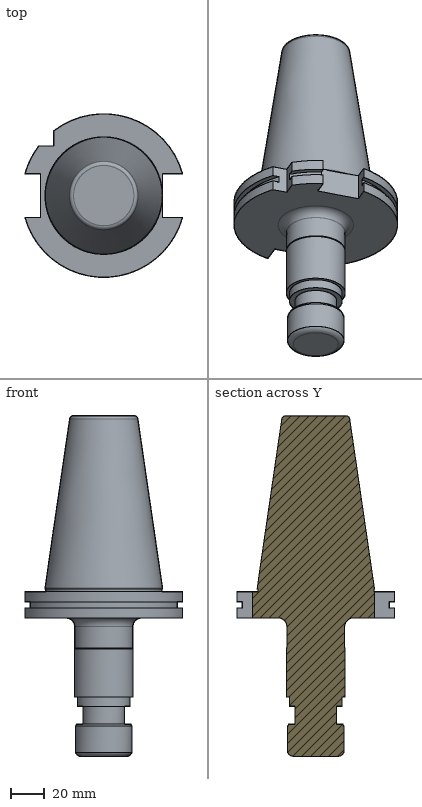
import cadquery as cq

overall_length = 202.8
nut_rounding_top_z = 2.5
nut_top_chamfer_z = 18.0
nut_top_z = 19.3
shank_shoulder_z = 29.8
body_bottom_z = 35.3
body_top_z = 64.0
neck_bottom_z = 64.7
flange_thickness = 15.8
flange_bottom_z = 82.3
flange_top_z = flange_bottom_z + flange_thickness
gauge_band_z = 99.8
taper_start_z = 100.4

nut_face_diameter = 26.8
nut_diameter = 33.7
nut_top_diameter = 32.5
shank_diameter = 25.0
shoulder_diameter = 31.5
body_diameter = 35.0
neck_diameter = 34.7
flange_diameter = 97.3
collar_diameter = 69.4
taper_large_diameter = 70.0

taper_ratio = 7 / 24
taper_length = overall_length - taper_start_z
taper_small_diameter = taper_large_diameter - taper_ratio * taper_length
taper_tip_fillet = 2.5

nut_rounding_radius = 4.0
neck_fillet = 5.0

groove_width = 3.7
groove_depth = 3.0
groove_center_z = flange_bottom_z + flange_thickness / 2
drive_slot_width = 25.8
left_slot_floor_x = -37.7
right_slot_floor_x = 35.0
notch_x = -29.8
notch_y = 29.6


def cylinder(diameter, bottom_z, top_z):
    """Cylinder on the Z axis between two heights."""
    return cq.Workplane("XY").workplane(offset=bottom_z).circle(diameter / 2).extrude(top_z - bottom_z)


def flange_cutter(x_from, x_to, y_from, y_to):
    """Rectangular block through the full flange thickness."""
    return (
        cq.Workplane("XY")
        .box(x_to - x_from, y_to - y_from, flange_thickness, centered=False)
        .translate((x_from, y_from, flange_bottom_z))
    )


def make_shank():
    """Collet nut, shank, stepped body and filleted neck as one revolved profile."""
    neck_radius = neck_diameter / 2
    return (
        cq.Workplane("XZ")
        .lineTo(nut_face_diameter / 2, 0)
        .radiusArc((nut_diameter / 2, nut_rounding_top_z), -nut_rounding_radius)
        .lineTo(nut_diameter / 2, nut_top_chamfer_z)
        .lineTo(nut_top_diameter / 2, nut_top_z)
        .lineTo(shank_diameter / 2, nut_top_z)
        .lineTo(shank_diameter / 2, shank_shoulder_z)
        .lineTo(shoulder_diameter / 2, shank_shoulder_z)
        .lineTo(shoulder_diameter / 2, body_bottom_z)
        .lineTo(body_diameter / 2, body_bottom_z)
        .lineTo(body_diameter / 2, body_top_z)
        .lineTo(neck_radius, neck_bottom_z)
        .lineTo(neck_radius, flange_bottom_z - neck_fillet)
        .radiusArc((neck_radius + neck_fillet, flange_bottom_z), neck_fillet)
        .lineTo(0, flange_bottom_z)
        .close()
        .revolve(360, (0, 0, 0), (0, 1, 0))
    )


def make_flange():
    """Grooved flange with two drive slots and an orientation notch."""
    flange_radius = flange_diameter / 2
    half_slot = drive_slot_width / 2
    groove_bottom_z = groove_center_z - groove_width / 2
    groove_top_z = groove_center_z + groove_width / 2
    groove = cylinder(flange_diameter, groove_bottom_z, groove_top_z).cut(
        cylinder(flange_diameter - 2 * groove_depth, groove_bottom_z, groove_top_z)
    )
    return (
        cylinder(flange_diameter, flange_bottom_z, flange_top_z)
        .cut(groove)
        .cut(flange_cutter(-flange_radius, left_slot_floor_x, -half_slot, half_slot))
        .cut(flange_cutter(right_slot_floor_x, flange_radius, -half_slot, half_slot))
        .cut(flange_cutter(-flange_radius, notch_x, notch_y, flange_radius))
    )


def make_taper():
    """Steep taper with a rounded tip, a gauge band and a relieved collar."""
    cone = (
        cq.Workplane("XY")
        .workplane(offset=taper_start_z)
        .circle(taper_large_diameter / 2)
        .workplane(offset=taper_length)
        .circle(taper_small_diameter / 2)
        .loft()
        .faces(">Z")
        .edges()
        .fillet(taper_tip_fillet)
    )
    band = cylinder(taper_large_diameter, gauge_band_z, taper_start_z)
    collar = cylinder(collar_diameter, flange_top_z, gauge_band_z)
    return cone.union(band).union(collar)


result = make_shank().union(make_flange()).union(make_taper())